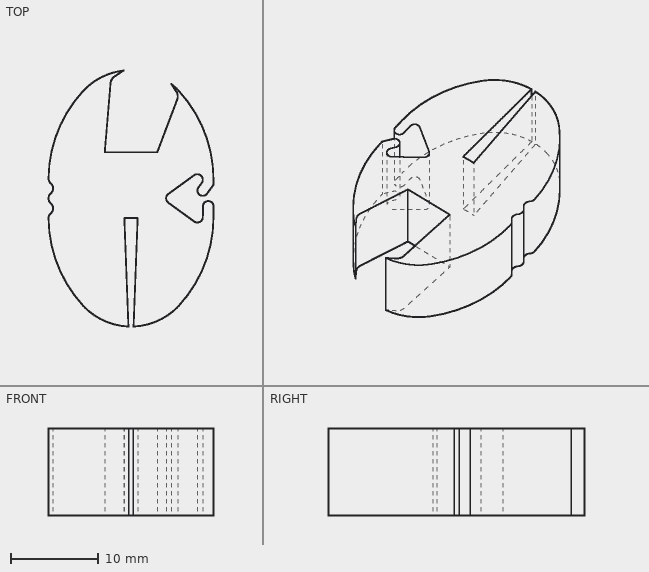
import cadquery as cq
import math

thickness = 10.0
half_width = 9.495
half_length = 14.75
side_radius = 2 * 7.5
end_radius = side_radius / 2

jaw_floor_y = 5.3
jaw_floor_half_width = 3.0
jaw_left_corner = (-2.3, 13.72)
jaw_right_corner = (5.48, 11.83)
jaw_left_tip = (-0.85, 14.7)
jaw_right_tip = (4.53, 13.28)
jaw_clearance_y = 17.65
jaw_corner_radius = 1.0

slit_top_y = -2.282
slit_top_half_width = 0.75
slit_mouth_half_width = 0.28

groove_pitch = 2.3
groove_depth = 0.53

round_radius = 0.62
lobe_x = 7.62
lobe_y = 2.15
arrow_half_angle = math.radians(36)
hook_neck_length = 0.65
post_center_y = -0.9

overshoot = 1.47


def extrude(outline):
    return outline.close().extrude(thickness)


def polar(center, angle, distance=round_radius):
    """Point at a distance and direction from a centre."""
    return (center[0] + distance * math.cos(angle), center[1] + distance * math.sin(angle))


def make_body():
    side_center_x = side_radius - half_width
    end_center_y = half_length - end_radius
    center_distance = side_radius - end_radius
    side_center_y = end_center_y - math.sqrt(center_distance**2 - side_center_x**2)

    blend_angle = math.atan2(end_center_y - side_center_y, side_center_x)
    blend_x, blend_y = polar((0, end_center_y), blend_angle, end_radius)
    side_mid_x, side_mid_y = polar((-side_center_x, side_center_y), blend_angle / 2, side_radius)

    outline = (
        cq.Workplane("XY")
        .moveTo(half_width, -side_center_y)
        .lineTo(half_width, side_center_y)
        .threePointArc((side_mid_x, side_mid_y), (blend_x, blend_y))
        .threePointArc((0, half_length), (-blend_x, blend_y))
        .threePointArc((-side_mid_x, side_mid_y), (-half_width, side_center_y))
        .lineTo(-half_width, -side_center_y)
        .threePointArc((-side_mid_x, -side_mid_y), (-blend_x, -blend_y))
        .threePointArc((0, -half_length), (blend_x, -blend_y))
        .threePointArc((side_mid_x, -side_mid_y), (half_width, -side_center_y))
    )
    return extrude(outline)


def make_jaw():
    outline = cq.Workplane("XY").polyline([
        (-jaw_floor_half_width, jaw_floor_y),
        jaw_left_corner,
        jaw_left_tip,
        (jaw_left_tip[0], jaw_clearance_y),
        (jaw_right_tip[0], jaw_clearance_y),
        jaw_right_tip,
        jaw_right_corner,
        (jaw_floor_half_width, jaw_floor_y),
    ])
    jaw = extrude(outline)
    for x, y in (jaw_left_corner, jaw_right_corner):
        corner_edge = cq.selectors.NearestToPointSelector((x, y, thickness / 2))
        jaw = jaw.edges("|Z").edges(corner_edge).fillet(jaw_corner_radius)
    return jaw


def make_slit():
    outline = cq.Workplane("XY").polyline([
        (-slit_top_half_width, slit_top_y),
        (slit_top_half_width, slit_top_y),
        (slit_mouth_half_width, -half_length),
        (-slit_mouth_half_width, -half_length),
    ])
    return extrude(outline)


def make_groove(center_y):
    """Concave valley flanked by equal convex arcs, all tangent to one another."""
    quarter_pitch = groove_pitch / 4
    half_depth = groove_depth / 2
    arc_radius = (half_depth**2 + quarter_pitch**2) / groove_depth
    arc_angle = math.asin(quarter_pitch / arc_radius)
    bump_mid_x = -half_width + arc_radius * (1 - math.cos(arc_angle / 2))
    bump_mid_offset = 2 * quarter_pitch - arc_radius * math.sin(arc_angle / 2)
    tip_offset = groove_pitch / 2
    flank_x = -half_width + half_depth
    outside_x = -half_width - overshoot

    outline = (
        cq.Workplane("XY")
        .moveTo(outside_x, center_y + tip_offset)
        .lineTo(-half_width, center_y + tip_offset)
        .threePointArc((bump_mid_x, center_y + bump_mid_offset), (flank_x, center_y + quarter_pitch))
        .threePointArc((-half_width + groove_depth, center_y), (flank_x, center_y - quarter_pitch))
        .threePointArc((bump_mid_x, center_y - bump_mid_offset), (-half_width, center_y - tip_offset))
        .lineTo(outside_x, center_y - tip_offset)
    )
    return extrude(outline)


def make_arrow_pocket():
    quarter_turn = math.pi / 2
    hook_angle = quarter_turn - arrow_half_angle
    upper_normal = quarter_turn + arrow_half_angle
    hook_normal = -arrow_half_angle

    upper_lobe = (lobe_x, lobe_y)
    lower_lobe = (lobe_x, -lobe_y)
    nose_x = lobe_x - lobe_y / math.tan(arrow_half_angle)
    nose = (nose_x, 0)
    hook_offset = polar(upper_lobe, hook_normal, 2 * round_radius)
    hook = polar(hook_offset, hook_angle, -hook_neck_length)
    post = (half_width - round_radius, post_center_y)

    hook_outer = polar(hook, hook_normal)
    flank_end = polar(hook_outer, hook_angle, overshoot)
    outside_x = half_width + overshoot

    outline = (
        cq.Workplane("XY")
        .moveTo(*polar(nose, -upper_normal))
        .threePointArc(polar(nose, math.pi), polar(nose, upper_normal))
        .lineTo(*polar(upper_lobe, upper_normal))
        .threePointArc(polar(upper_lobe, hook_angle), polar(upper_lobe, hook_normal))
        .lineTo(*polar(hook, hook_normal + math.pi))
        .threePointArc(polar(hook, hook_normal - quarter_turn), hook_outer)
        .lineTo(*flank_end)
        .lineTo(outside_x, flank_end[1])
        .lineTo(outside_x, post_center_y)
        .lineTo(half_width, post_center_y)
        .threePointArc(polar(post, quarter_turn), polar(post, math.pi))
        .lineTo(lobe_x + round_radius, -lobe_y)
        .threePointArc(polar(lower_lobe, -quarter_turn), polar(lower_lobe, -upper_normal))
    )
    return extrude(outline)


result = make_body().cut(make_jaw()).cut(make_slit()).cut(make_arrow_pocket())
for groove_y in (-groove_pitch / 2, groove_pitch / 2):
    result = result.cut(make_groove(groove_y))